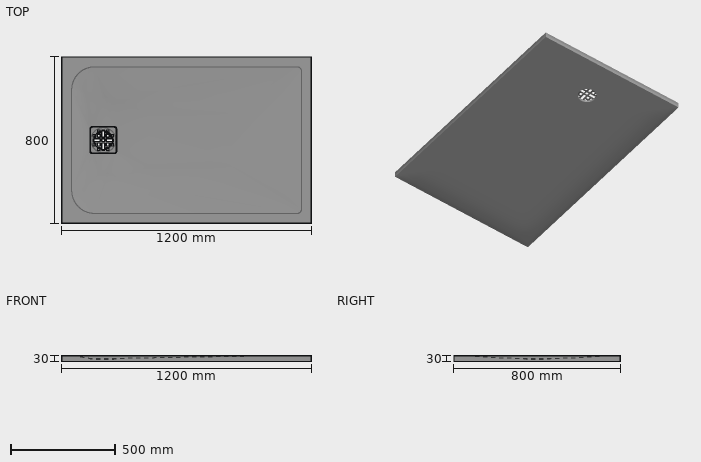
import cadquery as cq
import math

TRAY_LENGTH = 1200.0
TRAY_WIDTH = 800.0
TRAY_HEIGHT = 30.0

BORDER = 48.0
FLOOR_LENGTH = TRAY_LENGTH - 2 * BORDER
FLOOR_WIDTH = TRAY_WIDTH - 2 * BORDER
DRAIN_END_RADIUS = 110.0
FAR_END_RADIUS = 20.0
FLOOR_FALL = 14.0
RIM_Z = TRAY_HEIGHT - FLOOR_FALL

DRAIN_X = -TRAY_LENGTH / 2 + 200.0
LIP_SIZE = 130.0
LIP_RADIUS = 13.0
LIP_WIDTH = 3.0
LIP_STEP = 0.5
LIP_TOP_Z = RIM_Z - LIP_STEP
LIP_SLOPE = 12.0
LIP_DEPTH = LIP_WIDTH * math.tan(math.radians(LIP_SLOPE))
CONE_DIAMETER = 120.0
OUTLET_DIAMETER = 90.0
CONE_SLOPE = 5.0
CONE_DEPTH = (CONE_DIAMETER - OUTLET_DIAMETER) / 2 * math.tan(math.radians(CONE_SLOPE))

GRATE_SIZE = LIP_SIZE - 2 * LIP_WIDTH
GRATE_RADIUS = LIP_RADIUS - LIP_WIDTH
GRATE_THICKNESS = 2.0
GRATE_TOP_Z = LIP_TOP_Z - LIP_DEPTH
GRATE_BOTTOM_Z = GRATE_TOP_Z - GRATE_THICKNESS

OPENING_SIZE = 13.0
OPENING_PITCH = 21.3


def rounded_square(size, radius):
    """Sketch of a square with rounded corners."""
    return cq.Sketch().rect(size, size).vertices().fillet(radius).reset()


def at_drain(z):
    """Workplane at height z, centred on the drain."""
    return cq.Workplane("XY", origin=(DRAIN_X, 0, z))


def floor_hollow():
    """Shallow dish between the level of the border and a smooth surface sagging to the lip."""
    outline = (
        cq.Sketch().rect(FLOOR_LENGTH, FLOOR_WIDTH)
        .vertices("<X").fillet(DRAIN_END_RADIUS).reset()
        .vertices(">X").fillet(FAR_END_RADIUS).reset()
    )
    rim = rounded_square(LIP_SIZE, LIP_RADIUS)
    lid_face = outline.moved(cq.Location(cq.Vector(0, 0, TRAY_HEIGHT))).faces().val()
    rim_face = rim.moved(cq.Location(cq.Vector(DRAIN_X, 0, RIM_Z))).faces().val()
    dish = cq.Face.makeNSidedSurface(lid_face.outerWire().Edges(), rim_face.outerWire().Edges())
    return cq.Workplane(cq.Solid.makeSolid(cq.Shell.makeShell([lid_face, dish])))


def lip_hollow():
    """Step down from the dish, then a sloping lip from there to the outline of the grate."""
    lip = rounded_square(LIP_SIZE, LIP_RADIUS)
    seat = rounded_square(GRATE_SIZE, GRATE_RADIUS)
    slope = (
        at_drain(GRATE_TOP_Z)
        .placeSketch(seat, lip.moved(cq.Location(cq.Vector(0, 0, LIP_DEPTH))))
        .loft(ruled=True)
    )
    step = at_drain(LIP_TOP_Z).placeSketch(lip).extrude(TRAY_HEIGHT - LIP_TOP_Z)
    return slope.union(step)


def grate_blank():
    """Grate plate without its openings, which is also the shape of its seat."""
    outline = rounded_square(GRATE_SIZE, GRATE_RADIUS)
    return at_drain(GRATE_BOTTOM_Z).placeSketch(outline).extrude(GRATE_THICKNESS)


def outlet_hollow():
    """Shallow cone under the grate, running into the round outlet through the underside."""
    cone_bottom_z = GRATE_BOTTOM_Z - CONE_DEPTH
    outlet = at_drain(0).circle(OUTLET_DIAMETER / 2).extrude(cone_bottom_z)
    cone = (
        at_drain(cone_bottom_z).circle(OUTLET_DIAMETER / 2)
        .workplane(offset=CONE_DEPTH).circle(CONE_DIAMETER / 2)
        .loft(ruled=True)
    )
    return outlet.union(cone)


def make_tray():
    slab = cq.Workplane("XY").box(TRAY_LENGTH, TRAY_WIDTH, TRAY_HEIGHT, centered=(True, True, False))
    return slab.cut(floor_hollow()).cut(lip_hollow()).cut(grate_blank()).cut(outlet_hollow())


def grate_openings():
    """Square openings on a grid without its corners, and a cross of four slots two cells long."""
    squares = [
        (column * OPENING_PITCH, row * OPENING_PITCH)
        for column in range(-2, 3)
        for row in range(-2, 3)
        if abs(column * row) in (1, 2)
    ]
    squares.append((0, 0))
    slot_length = OPENING_PITCH + OPENING_SIZE
    slot_offset = 1.5 * OPENING_PITCH
    grid = at_drain(GRATE_BOTTOM_Z)
    openings = grid.pushPoints(squares).rect(OPENING_SIZE, OPENING_SIZE).extrude(GRATE_THICKNESS)
    for side in (-slot_offset, slot_offset):
        slot_x = grid.pushPoints([(side, 0)]).rect(slot_length, OPENING_SIZE).extrude(GRATE_THICKNESS)
        slot_y = grid.pushPoints([(0, side)]).rect(OPENING_SIZE, slot_length).extrude(GRATE_THICKNESS)
        openings = openings.union(slot_x).union(slot_y)
    return openings


def make_grate():
    return grate_blank().cut(grate_openings())


tray = make_tray()
grate = make_grate()

result = cq.Compound.makeCompound([tray.solids().val(), grate.solids().val()])